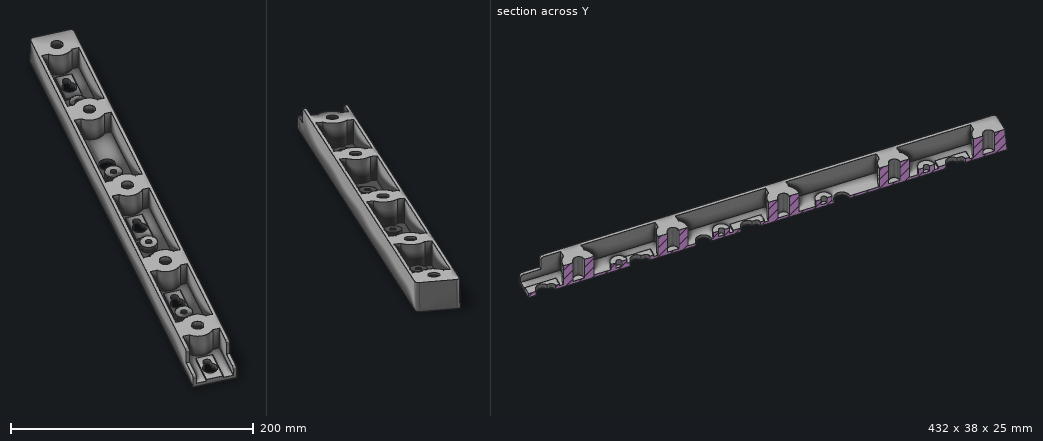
import cadquery as cq

length = 432.0
width = 38.0
height = 25.0
end_draft = 2.0
end_corner_radius = 3.25

tongue_start = 414.0
tongue_height = 11.5
wall_corner_radius = 2.8

side_wall = 3.0
floor = 3.5
channel_width = width - 2 * side_wall

first_post = 17.0
end_pitch = 85.0
middle_pitch = 100.0
post_positions = [first_post]
for pitch in (end_pitch, middle_pitch, middle_pitch, end_pitch):
    post_positions.append(post_positions[-1] + pitch)
post_radius = 14.0
web_thickness = 18.5
post_hole_diameter = 10.0

keyhole_posts = [post_positions[i] for i in (0, 2, 3, 4)]
pad_offset = 17.3
pad_length = 28.0
pad_width = 14.5
pad_height = 1.7
keyhole_offset = 32.5
keyhole_radius = 6.0
keyhole_slot_width = 6.5
keyhole_slot_reach = 11.2

first_boss = 73.0
boss_pitch = 92.5
boss_count = 4
boss_diameter = 14.5
boss_height = 6.0
boss_hole_diameter = 5.0
stepped_boss = 2
boss_step_height = 1.0

floor_hole_positions = (149.0, 274.0)
floor_hole_diameter = 14.0


def box(x_start, x_end, y_size, z_start, z_end):
    """Box centred on Y = 0 between the given X and Z limits."""
    return (
        cq.Workplane("XY")
        .box(x_end - x_start, y_size, z_end - z_start, centered=(False, True, False))
        .translate((x_start, 0, z_start))
    )


def cylinder(x, diameter, z_start, z_end):
    """Upright cylinder on the bar's centreline."""
    return (
        cq.Workplane("XY", origin=(x, 0, z_start))
        .circle(diameter / 2)
        .extrude(z_end - z_start)
    )


def make_envelope():
    """Solid bar with a leaning closed end and a stepped, rounded open end."""
    profile = [
        (0, 0),
        (length, 0),
        (length, tongue_height),
        (tongue_start, tongue_height),
        (tongue_start, height),
        (end_draft, height),
    ]
    bar = cq.Workplane("XZ").polyline(profile).close().extrude(width / 2, both=True)
    bar = bar.faces("<X").edges("not #Z").fillet(end_corner_radius)
    for x, z in ((length, tongue_height), (tongue_start, height)):
        corner = cq.selectors.NearestToPointSelector((x, 0, z))
        bar = bar.edges("|Y").edges(corner).fillet(wall_corner_radius)
    return bar


def make_channel():
    """Space between the side walls, left solid at the posts and their webs."""
    channel = box(first_post, length, channel_width, floor, height)
    for x in post_positions:
        web = box(x - web_thickness / 2, x + web_thickness / 2, width, floor, height)
        post = cylinder(x, 2 * post_radius, floor, height)
        channel = channel.cut(web).cut(post)
    return channel


def make_keyhole(post):
    """Cutter for a round opening with a narrower slot toward the post."""
    centre = post + keyhole_offset
    top = floor + pad_height
    slot_end_centre = centre - keyhole_slot_reach + keyhole_slot_width / 2
    slot = box(slot_end_centre, centre, keyhole_slot_width, 0, top)
    slot_tip = cylinder(slot_end_centre, keyhole_slot_width, 0, top)
    return cylinder(centre, 2 * keyhole_radius, 0, top).union(slot).union(slot_tip)


result = make_envelope().cut(make_channel())

for post in post_positions:
    result = result.cut(cylinder(post, post_hole_diameter, floor, height))

for post in keyhole_posts:
    pad_start = post + pad_offset
    pad_end = min(pad_start + pad_length, length)
    result = result.union(box(pad_start, pad_end, pad_width, 0, floor + pad_height))
    result = result.cut(make_keyhole(post))

for x in floor_hole_positions:
    result = result.cut(cylinder(x, floor_hole_diameter, 0, floor))

boss_top = floor + boss_height
for index in range(boss_count):
    x = first_boss + index * boss_pitch
    result = result.union(cylinder(x, boss_diameter, 0, boss_top))
    if index == stepped_boss:
        result = result.union(box(x - boss_diameter / 2, x, boss_diameter, 0, floor + boss_step_height))
    result = result.cut(cylinder(x, boss_hole_diameter, floor, boss_top))